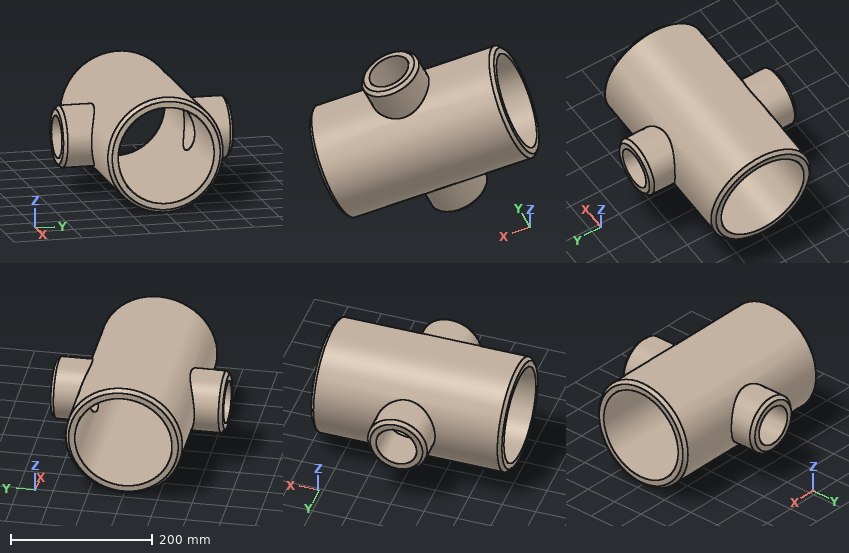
import cadquery as cq

main_length = 285.5
main_outer_diameter = 168.2
main_bore_diameter = 140.2

branch_span = 247.8
branch_outer_diameter = 88.8
branch_bore_diameter = 60.5

end_chamfer = 5.0


def centred_cylinder(plane, diameter, length):
    """Cylinder centred on the origin, along the normal of the plane."""
    return cq.Workplane(plane).circle(diameter / 2).extrude(length / 2, both=True)


def bevelled_bar(plane, diameter, length):
    """Centred cylinder with both end edges chamfered."""
    bar = centred_cylinder(plane, diameter, length)
    return bar.edges("%CIRCLE").chamfer(end_chamfer)


main_bar = bevelled_bar("YZ", main_outer_diameter, main_length)
branch_bar = bevelled_bar("XZ", branch_outer_diameter, branch_span)
cross = main_bar.union(branch_bar)

main_bore = centred_cylinder("YZ", main_bore_diameter, main_length)
branch_bore = centred_cylinder("XZ", branch_bore_diameter, branch_span)
result = cross.cut(main_bore).cut(branch_bore)